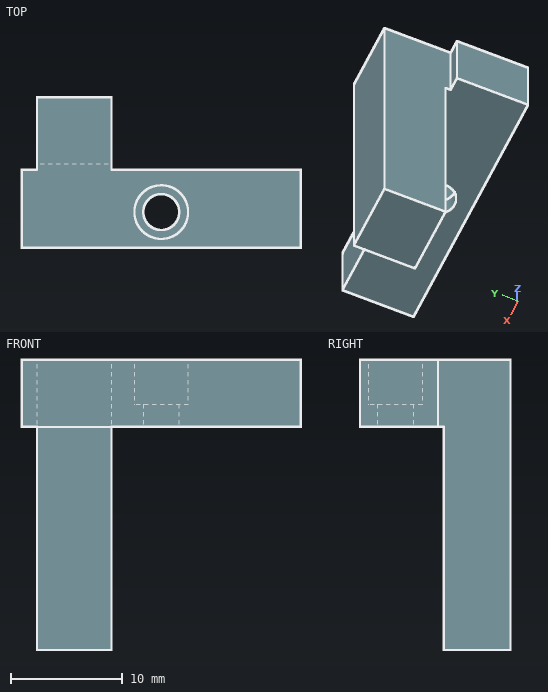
import cadquery as cq

bar_length = 25.0
bar_depth = 7.0
bar_height = 6.0

total_depth = 13.5
total_height = 26.0
leg_offset = 1.38
leg_width = 6.68
leg_depth = 6.0

hole_diameter = 3.2
counterbore_diameter = 4.8
counterbore_depth = 4.0
hole_y = 3.2

bar_bottom = total_height - bar_height


def block(x, y, z, length, depth, height):
    """Box with its lowest corner at (x, y, z)."""
    return cq.Workplane("XY").box(length, depth, height, centered=False).translate((x, y, z))


bar = block(0, 0, bar_bottom, bar_length, bar_depth, bar_height)
leg = block(leg_offset, total_depth - leg_depth, 0, leg_width, leg_depth, total_height)
link = block(leg_offset, bar_depth, bar_bottom, leg_width, total_depth - bar_depth, bar_height)

result = (
    bar.union(link)
    .union(leg)
    .faces(">Z")
    .workplane(origin=(bar_length / 2, hole_y, total_height))
    .cboreHole(hole_diameter, counterbore_diameter, counterbore_depth, depth=bar_height)
)